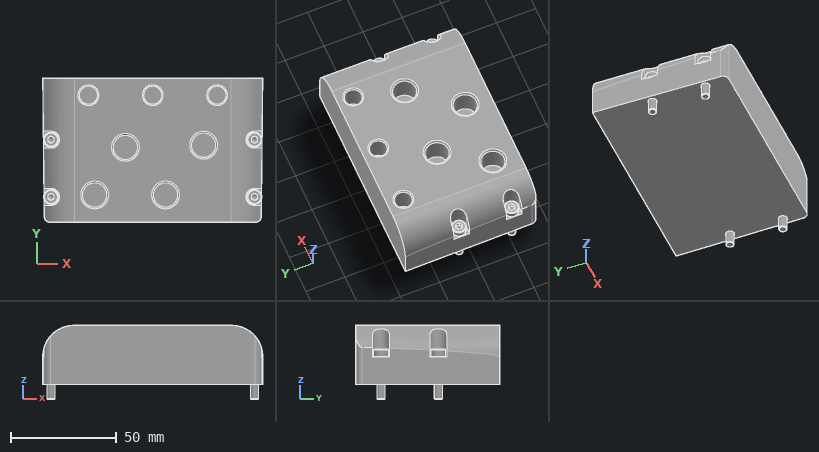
import cadquery as cq
import math

block_width = 104.0
block_depth = 68.2
block_height = 28.1
front_width = 102.5
shoulder_radius = 15.0
corner_radius = 3.0

port_depth = 14.0
small_port_diameter = 8.5
small_mouth_diameter = 9.8
small_port_pitch = 30.4
small_port_y = 26.0
large_port_diameter = 11.4
large_mouth_diameter = 13.1
large_port_centres = [(6.0, -21.1), (24.0, 2.4), (-12.9, 1.4), (-27.5, -21.1)]

screw_x = 48.0
screw_rows = [5.0, -22.0]
seat_height = 13.0
seat_width = 8.0
clearance_diameter = 4.3
shank_diameter = 4.0
shank_projection = 7.0
tip_chamfer = 0.3
head_diameter = 7.0
head_height = 3.8
head_top_chamfer = 0.4
head_base_chamfer = 0.3
socket_flats = 3.0
socket_depth = 2.0
socket_tip_depth = 0.8

half_depth = block_depth / 2
screw_centres = [(side * screw_x, y) for side in (-1, 1) for y in screw_rows]


def make_plan():
    """Tapered footprint, narrower at the front, with rounded front corners."""
    return (
        cq.Workplane("XY")
        .polyline([
            (-front_width / 2, -half_depth),
            (front_width / 2, -half_depth),
            (block_width / 2, half_depth),
            (-block_width / 2, half_depth),
        ])
        .close()
        .extrude(block_height)
        .edges("|Z and <Y")
        .fillet(corner_radius)
    )


def make_shoulders():
    """Straight bar with rounded upper long edges."""
    return (
        cq.Workplane("XY")
        .box(block_width, block_depth, block_height, centered=(True, True, False))
        .edges("|Y and >Z")
        .fillet(shoulder_radius)
    )


def cut_ports(block, centres, diameter, mouth_diameter):
    """Blind ports in the top face, each with a chamfered mouth."""
    chamfer = (mouth_diameter - diameter) / 2
    bores = (
        cq.Workplane("XY", origin=(0, 0, block_height))
        .pushPoints(centres)
        .circle(diameter / 2)
        .extrude(-port_depth)
    )
    mouths = (
        cq.Workplane("XY", origin=(0, 0, block_height))
        .pushPoints(centres)
        .circle(mouth_diameter / 2)
        .extrude(-chamfer, taper=45)
    )
    return block.cut(bores).cut(mouths)


def make_seat(x, y):
    """Round-ended slot that opens through the side wall, with a clearance hole below it."""
    outward = 1 if x > 0 else -1
    height = block_height - seat_height
    seat_plane = cq.Workplane("XY", origin=(x, y, seat_height))
    pocket = seat_plane.circle(seat_width / 2).extrude(height)
    opening = (
        seat_plane.center(outward * seat_width / 2, 0)
        .rect(seat_width, seat_width)
        .extrude(height)
    )
    hole = cq.Workplane("XY", origin=(x, y, 0)).circle(clearance_diameter / 2).extrude(seat_height)
    return pocket.union(opening).union(hole)


def make_block():
    block = make_plan().intersect(make_shoulders())
    small_port_centres = [(step * small_port_pitch, small_port_y) for step in (-1, 0, 1)]
    block = cut_ports(block, small_port_centres, small_port_diameter, small_mouth_diameter)
    block = cut_ports(block, large_port_centres, large_port_diameter, large_mouth_diameter)
    for x, y in screw_centres:
        block = block.cut(make_seat(x, y))
    return block


def make_socket(x, y):
    """Hexagon socket sunk from the top of the head, with corners along Y and a conical bottom."""
    top = seat_height + head_height
    across_corners = socket_flats / math.cos(math.pi / 6)
    hexagon = (
        cq.Workplane("XY", origin=(x, y, top))
        .transformed(rotate=(0, 0, 90))
        .polygon(6, across_corners)
        .extrude(-socket_depth)
    )
    tip_z = top - socket_depth - socket_tip_depth
    cone = cq.Solid.makeCone(0, socket_flats / 2, socket_tip_depth, cq.Vector(x, y, tip_z))
    return hexagon.union(cq.Workplane(obj=cone))


def make_screw(x, y):
    """Cap screw standing on its seat, with chamfered rims and a hexagon socket."""
    shank = (
        cq.Workplane("XY", origin=(x, y, -shank_projection))
        .circle(shank_diameter / 2)
        .extrude(shank_projection + seat_height)
        .faces("<Z")
        .chamfer(tip_chamfer)
    )
    head = (
        cq.Workplane("XY", origin=(x, y, seat_height))
        .circle(head_diameter / 2)
        .extrude(head_height)
        .faces(">Z")
        .chamfer(head_top_chamfer)
        .faces("<Z")
        .chamfer(head_base_chamfer)
    )
    return shank.union(head).cut(make_socket(x, y))


block = make_block()
screws = [make_screw(x, y) for x, y in screw_centres]

result = cq.Compound.makeCompound([block.val(), *[screw.val() for screw in screws]])